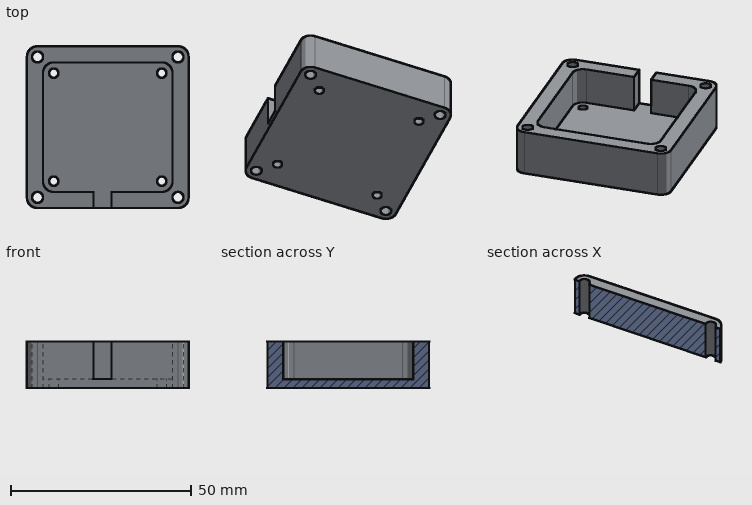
import cadquery as cq

side = 45.0
height = 13.0
corner_radius = 3.0

wall = 4.5
floor_thickness = 2.5
cavity_side = side - 2 * wall
cavity_depth = height - floor_thickness
cavity_corner_radius = 3.0

slot_width = 5.0
slot_center_x = -1.5

rim_hole_diameter = 3.0
rim_hole_spacing = side - 2 * corner_radius
floor_hole_diameter = 2.53
floor_hole_spacing = 30.0


def rounded_block(width, block_height, radius, base_z):
    """Square block with rounded vertical edges, standing on base_z."""
    block = cq.Workplane("XY").workplane(offset=base_z).rect(width, width).extrude(block_height)
    return block.edges("|Z").fillet(radius)


def corner_holes(spacing, diameter):
    """Four full-height cylinders at the corners of a square."""
    centers = cq.Workplane("XY").rect(spacing, spacing, forConstruction=True).vertices()
    return centers.circle(diameter / 2).extrude(height)


def cable_slot():
    """Rectangular notch reaching from the outer -Y face to the cavity."""
    slot = cq.Workplane("XY").box(slot_width, wall, cavity_depth, centered=(True, False, False))
    return slot.translate((slot_center_x, -side / 2, floor_thickness))


result = (
    rounded_block(side, height, corner_radius, 0)
    .cut(rounded_block(cavity_side, cavity_depth, cavity_corner_radius, floor_thickness))
    .cut(cable_slot())
    .cut(corner_holes(rim_hole_spacing, rim_hole_diameter))
    .cut(corner_holes(floor_hole_spacing, floor_hole_diameter))
)